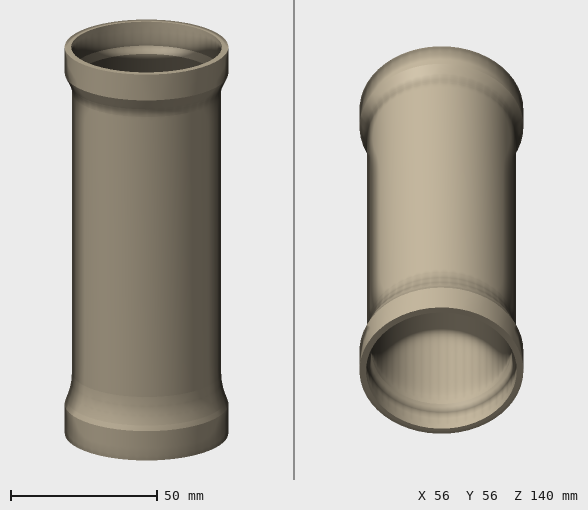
import cadquery as cq
import math

length = 140.0
collar_radius = 28.0
barrel_radius = 25.5
bore_radius = 24.0

top_collar_height = 9.4
top_cone_angle = 25.4
top_blend_radius = 7.1
bottom_collar_height = 10.6
bottom_cone_angle = 21.3
bottom_blend_radius = 26.7

socket_radius = 25.8
socket_depth = 8.7
socket_cone_height = 2.4


def end_collar(height, cone_angle, blend_radius):
    """Blank for one end, with its outer face at z = 0 and the barrel above."""
    angle = math.radians(cone_angle)
    corner_z = height + (collar_radius - barrel_radius) / math.tan(angle)
    tangent_length = blend_radius * math.tan(angle / 2)
    blend_end_z = corner_z + tangent_length
    cone_end = (
        barrel_radius + tangent_length * math.sin(angle),
        corner_z - tangent_length * math.cos(angle),
    )
    blend_middle = (
        barrel_radius + blend_radius * (1 - math.cos(angle / 2)),
        blend_end_z - blend_radius * math.sin(angle / 2),
    )
    profile = (
        cq.Workplane("XZ")
        .lineTo(collar_radius, 0)
        .lineTo(collar_radius, height)
        .lineTo(*cone_end)
        .threePointArc(blend_middle, (barrel_radius, blend_end_z))
        .lineTo(0, blend_end_z)
        .close()
    )
    return profile.revolve(360, (0, 0, 0), (0, 1, 0))


def end_socket():
    """Cutter for one socket, opening at z = 0 and reaching upward."""
    cone_end_z = socket_depth + socket_cone_height
    profile = (
        cq.Workplane("XZ")
        .lineTo(socket_radius, 0)
        .lineTo(socket_radius, socket_depth)
        .lineTo(bore_radius, cone_end_z)
        .lineTo(0, cone_end_z)
        .close()
    )
    return profile.revolve(360, (0, 0, 0), (0, 1, 0))


def at_top(body):
    """Turn a bottom-end body over and place it at the top end."""
    return body.rotate((0, 0, 0), (1, 0, 0), 180).translate((0, 0, length))


barrel = cq.Workplane("XY").circle(barrel_radius).extrude(length)
bore = cq.Workplane("XY").circle(bore_radius).extrude(length)
bottom_collar = end_collar(bottom_collar_height, bottom_cone_angle, bottom_blend_radius)
top_collar = end_collar(top_collar_height, top_cone_angle, top_blend_radius)

result = barrel.union(bottom_collar).union(at_top(top_collar))
result = result.cut(bore).cut(end_socket()).cut(at_top(end_socket()))